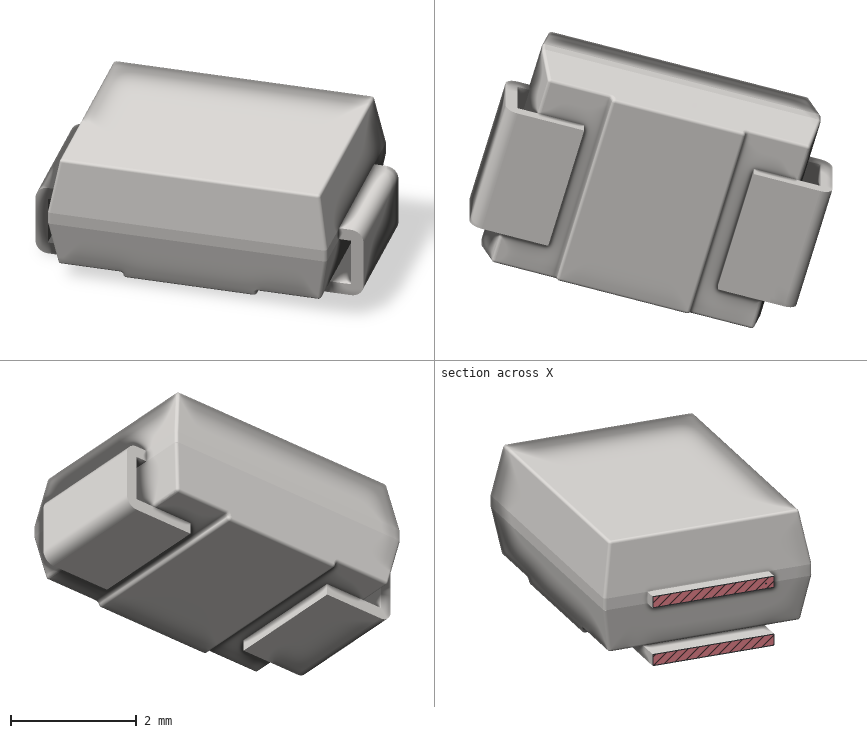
import cadquery as cq
import math

body_length = 4.6
body_width = 3.6
body_top = 2.1
body_bottom = 0.1
draft_angle = 10.0
edge_radius = 0.05
recess_corner_radius = 0.049

overall_length = 5.4
lead_thickness = 0.2
lead_width = 2.1
lead_top = 1.2
foot_inner_x = 1.4
lead_embed = 0.3

band_top = lead_top
band_bottom = lead_top - lead_thickness

pad_length = 2.2
recess_roof = lead_thickness

tolerance = 0.0001


def tapered_half(start_z, end_z):
    """Frustum growing narrower from the band plane at start_z to end_z."""
    inset = math.tan(math.radians(draft_angle)) * abs(end_z - start_z)
    return (
        cq.Workplane("XY")
        .workplane(offset=start_z)
        .rect(body_length, body_width)
        .workplane(offset=end_z - start_z)
        .rect(body_length - 2 * inset, body_width - 2 * inset)
        .loft(ruled=True)
    )


def is_band_rim(edge):
    """True for the level edges where the band meets a tapered half."""
    box = edge.BoundingBox()
    level = box.zmax - box.zmin < tolerance
    at_band = min(abs(box.zmin - band_top), abs(box.zmin - band_bottom)) < tolerance
    return level and at_band


def is_recess_corner(edge):
    """True for the inside edges where the pad walls meet the recess roofs."""
    center = edge.Center()
    at_wall = abs(abs(center.x) - pad_length / 2) < tolerance
    return at_wall and abs(center.z - recess_roof) < tolerance


def make_body():
    band = (
        cq.Workplane("XY")
        .workplane(offset=band_bottom)
        .rect(body_length, body_width)
        .extrude(band_top - band_bottom)
    )
    body = band.union(tapered_half(band_top, body_top))
    body = body.union(tapered_half(band_bottom, body_bottom))

    recess_length = (body_length - pad_length) / 2
    recess_x = (body_length + pad_length) / 4
    recesses = (
        cq.Workplane("XY")
        .pushPoints([(-recess_x, 0), (recess_x, 0)])
        .rect(recess_length, body_width)
        .extrude(recess_roof)
    )
    body = body.cut(recesses)

    recess_corners = [edge for edge in body.edges().vals() if is_recess_corner(edge)]
    body = body.newObject(recess_corners).fillet(recess_corner_radius)
    rounded_edges = [edge for edge in body.edges().vals() if not is_band_rim(edge)]
    return body.newObject(rounded_edges).fillet(edge_radius)


def make_lead():
    """Lead on the +X end: a C-shaped strip, rounded outside and square inside."""
    outer_x = overall_length / 2
    inner_x = outer_x - lead_thickness
    embedded_x = body_length / 2 - lead_embed
    return (
        cq.Workplane("XZ")
        .moveTo(foot_inner_x, 0)
        .lineTo(inner_x, 0)
        .radiusArc((outer_x, lead_thickness), -lead_thickness)
        .lineTo(outer_x, band_bottom)
        .radiusArc((inner_x, lead_top), -lead_thickness)
        .lineTo(embedded_x, lead_top)
        .lineTo(embedded_x, band_bottom)
        .lineTo(inner_x, band_bottom)
        .lineTo(inner_x, lead_thickness)
        .lineTo(foot_inner_x, lead_thickness)
        .close()
        .extrude(lead_width / 2, both=True)
    )


lead = make_lead()
result = make_body().union(lead).union(lead.mirror("YZ"))